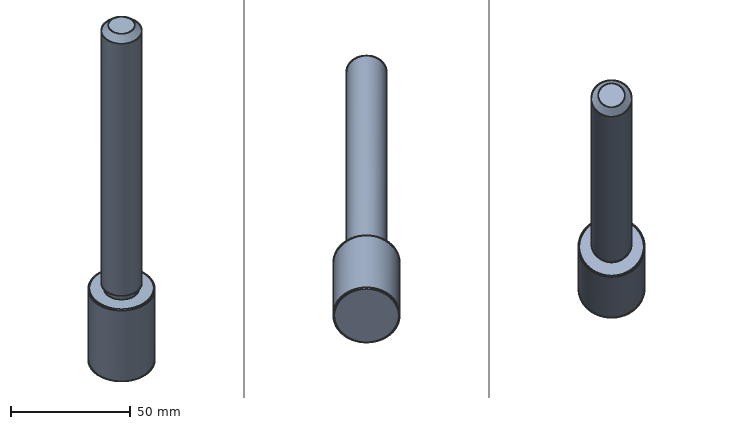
import cadquery as cq

total_length = 185.0
head_diameter = 28.0
head_length = 40.0
head_chamfer = 0.5

neck_diameter = 14.8
neck_length = 3.0

shank_diameter = 17.0
tip_diameter = 11.1
tip_length = 3.0

head_radius = head_diameter / 2
neck_radius = neck_diameter / 2
shank_radius = shank_diameter / 2
neck_top = head_length + neck_length

head = cq.Workplane("XY").circle(head_radius).extrude(head_length).edges().chamfer(head_chamfer)

stem = (
    cq.Workplane("XZ")
    .moveTo(0, 0)
    .lineTo(neck_radius, 0)
    .lineTo(neck_radius, neck_top)
    .lineTo(shank_radius, neck_top)
    .lineTo(shank_radius, total_length - tip_length)
    .lineTo(tip_diameter / 2, total_length)
    .lineTo(0, total_length)
    .close()
    .revolve(360, (0, 0), (0, 1))
)

result = head.union(stem)